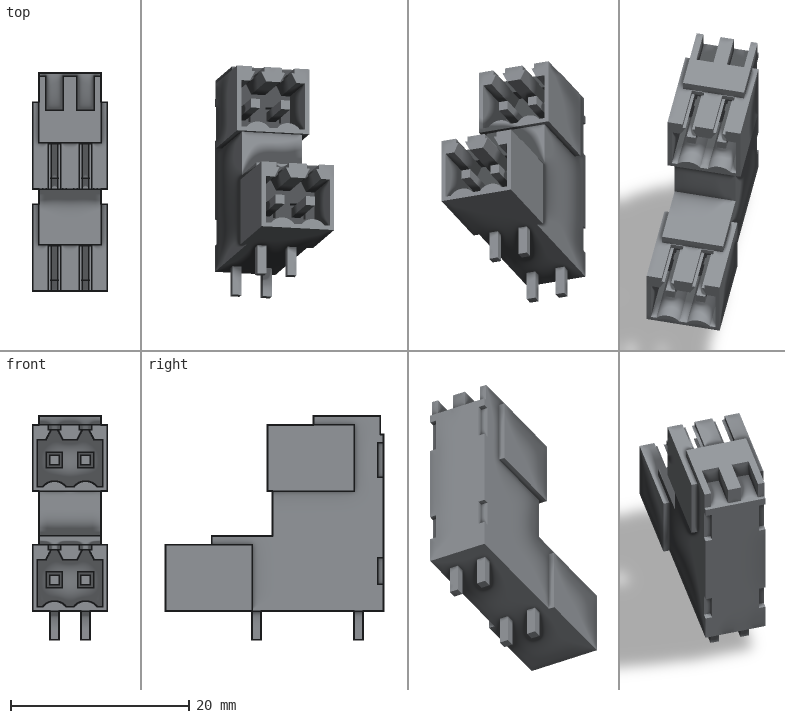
import cadquery as cq


pin_pitch = 3.5
pin_places = [-pin_pitch / 2, pin_pitch / 2]
level_run = 11.47
level_rise = 13.48
levels = [(0, level_rise), (level_run, 0)]

socket_width = 8.4
socket_height = 7.45
socket_back = 3.3
socket_front = 13.08

core_width = 7.0
core_front = 12.5
tab_front = 7.9
tab_thickness = 1.0
core_top = level_rise + socket_height + tab_thickness

step_depth = 0.38
step_z = 19.88
rear_slot_width = 1.97
rear_slot_front = 4.2

notch_spans = [(3.0, 6.0), (15.05, 18.95)]
notch_depth = 0.65
notch_width = (core_width - pin_pitch - rear_slot_width) / 2

side_wall = 0.5
floor_thickness = 0.48
roof_thickness = 1.66
cavity_back = 6.05
cavity_length = socket_front - cavity_back
cavity_width = socket_width - 2 * side_wall
cavity_top = socket_height - roof_thickness

mouth_back = 7.96
mouth_width = 1.44
mouth_depth = 0.55
throat_width = 0.75
flare_width = 1.9

rib_width = 2.65
rib_height = 0.65

pin_size = 1.03
pin_height = 3.5
tip_setback = 1.23
leg_back = 2.32
leg_length = 3.25

recess_size = 1.8
recess_depth = 1.0


def block(width, back, front, bottom, top, x_center=0):
    """Box between two distances forward of the rear face and two heights."""
    return cq.Workplane("XY").box(width, front - back, top - bottom).translate(
        (x_center, -(back + front) / 2, (bottom + top) / 2)
    )


def make_cavity():
    """Empty space of the upper socket, with heights above the socket's underside."""
    cavity = block(cavity_width, cavity_back, socket_front, floor_thickness, cavity_top)
    plane = cq.Workplane("XZ", origin=(0, -cavity_back, 0))
    throat_z = socket_height - mouth_depth
    for x in pin_places:
        mouth = block(mouth_width, mouth_back, socket_front, throat_z, socket_height, x)
        flare = (
            plane.moveTo(x - flare_width / 2, cavity_top)
            .lineTo(x - throat_width / 2, throat_z)
            .lineTo(x + throat_width / 2, throat_z)
            .lineTo(x + flare_width / 2, cavity_top)
            .close()
            .extrude(cavity_length)
        )
        rib = (
            plane.moveTo(x - rib_width / 2, floor_thickness)
            .threePointArc((x, floor_thickness + rib_height), (x + rib_width / 2, floor_thickness))
            .close()
            .extrude(cavity_length)
        )
        recess = block(
            recess_size,
            cavity_back - recess_depth,
            cavity_back,
            pin_height - recess_size / 2,
            pin_height + recess_size / 2,
            x,
        )
        cavity = cavity.union(mouth).union(flare).cut(rib).union(recess)
    return cavity


def make_pin(x, run, rise):
    """Bent pin: a contact lying along Y and a leg going down through the board seat."""
    back = leg_back + run
    tip = socket_front + run - tip_setback
    center_z = pin_height + rise
    top = center_z + pin_size / 2
    contact = block(pin_size, back, tip, center_z - pin_size / 2, top, x)
    leg = block(pin_size, back, back + pin_size, -leg_length, top, x)
    return contact.union(leg)


def make_core():
    """Stepped core with tabs over the sockets, a rear step and rear notches."""
    core = block(core_width, 0, tab_front, 0, core_top)
    core = core.union(block(core_width, 0, core_front, 0, level_rise + socket_height))
    core = core.union(block(core_width, 0, tab_front + level_run, 0, socket_height + tab_thickness))
    core = core.cut(block(core_width, 0, step_depth, step_z, core_top))
    notch_x = (core_width - notch_width) / 2
    for bottom, top in notch_spans:
        for x in (-notch_x, notch_x):
            core = core.cut(block(notch_width, 0, notch_depth, bottom, top, x))
    return core


def make_housing(pins):
    """Core with a socket on each level, rear slots and a fitting hole for every pin."""
    housing = make_core()
    shell = block(socket_width, socket_back, socket_front, 0, socket_height)
    cavity = make_cavity()
    for run, rise in levels:
        housing = housing.union(shell.translate((0, -run, rise)))
        housing = housing.cut(cavity.translate((0, -run, rise)))
    for x in pin_places:
        housing = housing.cut(block(rear_slot_width, 0, rear_slot_front, step_z, core_top, x))
    for pin in pins:
        housing = housing.cut(pin)
    return housing


pins = [make_pin(x, run, rise) for run, rise in levels for x in pin_places]
housing = make_housing(pins)

result = cq.Compound.makeCompound([housing.solids().val(), *[pin.solids().val() for pin in pins]])